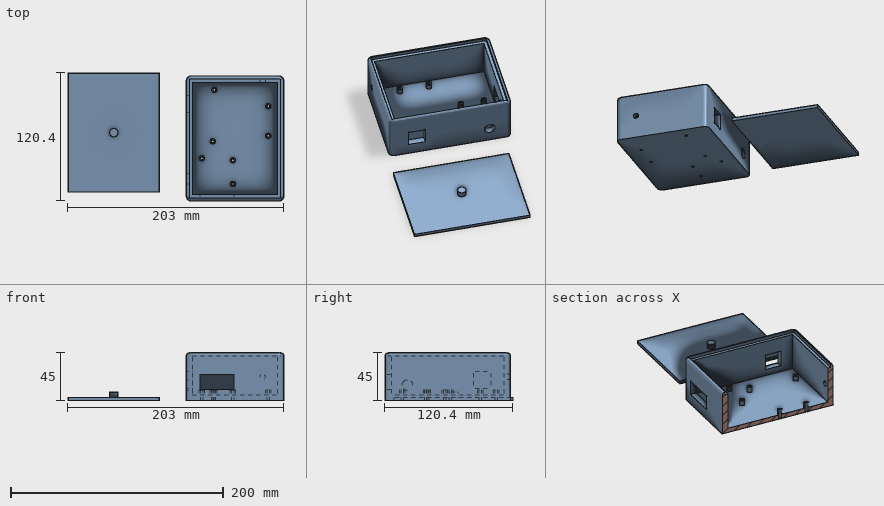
import cadquery as cq

total_x = 203.0
total_y = 120.4

box_x = 92.0
box_y = 118.0
box_z = 45.0
wall = 6.0
floor = 5.0
corner_radius = 5.0

lid_thickness = 3.0
seat_width = wall / 2
rim_radius = wall - seat_width
lid_x = box_x - 2 * rim_radius
lid_y = box_y - 2 * rim_radius
lid_center_x = box_x / 2 - total_x + lid_x / 2
lid_center_y = total_y - box_y / 2 - lid_y / 2
knob_diameter = 8.0
knob_height = 5.0

post_diameter = 5.0
post_height = 5.0
post_bore = 2.5
post_centers = [
    (-19.5, 45.7),
    (31.3, 30.5),
    (31.3, 2.5),
    (-21.0, -2.6),
    (-31.3, -18.7),
    (-2.0, -20.5),
    (-2.0, -42.8),
]

front_window_x = 32.0
front_window_z = 14.5
front_window_center_x = -17.0
front_window_bottom = 10.4

side_window_y = 16.2
side_window_z = 15.6
side_window_center_y = 32.5
side_window_bottom = 11.5
side_port_diameter = 10.0
side_port_y = -38.0
side_port_z = 14.6

back_port_diameter = 5.0
back_port_x = 26.0
back_port_z = 22.3

clearance = 2.0
cut_depth = wall + 2 * clearance


def block(size_x, size_y, size_z, center_x, center_y, bottom):
    """Rectangular block given by its centre in plan and its bottom height."""
    return (
        cq.Workplane("XY")
        .box(size_x, size_y, size_z, centered=(True, True, False))
        .translate((center_x, center_y, bottom))
    )


def cylinder(diameter, length, start, direction):
    """Round bar that runs from a start point along a direction."""
    solid = cq.Solid.makeCylinder(diameter / 2, length, cq.Vector(*start), cq.Vector(*direction))
    return cq.Workplane(obj=solid)


def make_shell():
    """Rounded box with an open cavity and a seat for the lid."""
    shell = block(box_x, box_y, box_z, 0, 0, 0)
    shell = shell.edges("|Z").fillet(corner_radius)
    shell = shell.faces(">Z").edges().fillet(rim_radius)
    cavity = block(box_x - 2 * wall, box_y - 2 * wall, box_z, 0, 0, floor)
    seat = block(lid_x, lid_y, box_z, 0, 0, box_z - lid_thickness)
    return shell.cut(cavity).cut(seat)


def add_posts(shell):
    """Stand the posts on the floor and drill them through."""
    for x, y in post_centers:
        post = cylinder(post_diameter, post_height, (x, y, floor), (0, 0, 1))
        bore = cylinder(post_bore, floor + post_height, (x, y, 0), (0, 0, 1))
        shell = shell.union(post).cut(bore)
    return shell


def cut_wall_openings(shell):
    """Cut the windows and round ports through the walls."""
    outer_x = -box_x / 2 - clearance
    outer_y = box_y / 2 + clearance
    front_window = block(
        front_window_x, cut_depth, front_window_z,
        front_window_center_x, -outer_y + cut_depth / 2, front_window_bottom,
    )
    side_window = block(
        cut_depth, side_window_y, side_window_z,
        outer_x + cut_depth / 2, side_window_center_y, side_window_bottom,
    )
    side_port = cylinder(side_port_diameter, cut_depth, (outer_x, side_port_y, side_port_z), (1, 0, 0))
    back_port = cylinder(back_port_diameter, cut_depth, (back_port_x, outer_y, back_port_z), (0, -1, 0))
    return shell.cut(front_window).cut(side_window).cut(side_port).cut(back_port)


def make_lid():
    """Flat lid with a round knob at its centre."""
    plate = block(lid_x, lid_y, lid_thickness, lid_center_x, lid_center_y, 0)
    knob = cylinder(knob_diameter, knob_height, (lid_center_x, lid_center_y, lid_thickness), (0, 0, 1))
    return plate.union(knob)


housing = cut_wall_openings(add_posts(make_shell()))
lid = make_lid()

result = cq.Compound.makeCompound([housing.solids().val(), lid.solids().val()])